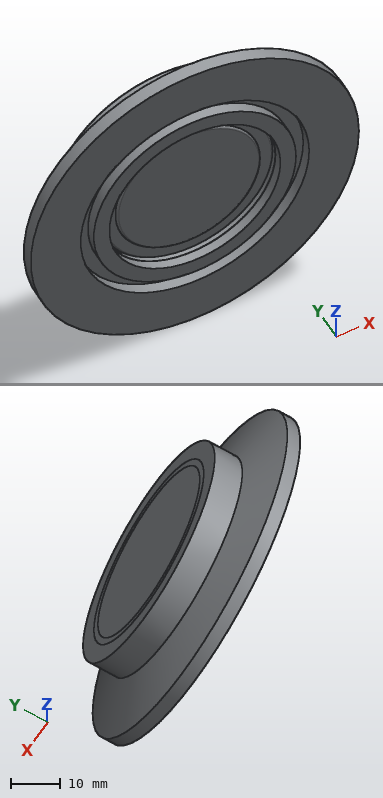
import cadquery as cq
import math

FLANGE_DIAMETER = 75.0
TOTAL_DEPTH = 12.8
FRONT = -TOTAL_DEPTH / 2

RIM_THICKNESS = 3.1
CONE_END_DEPTH = 6.3
HUB_DIAMETER = 50.8
GROOVE_OUTER_DIAMETER = 52.2
GROOVE_INNER_DIAMETER = 46.2
GROOVE_DEPTH = 2.55
BORE_DIAMETER = 39.1

SLEEVE_OUTER_DIAMETER = 42.3
SLEEVE_INNER_DIAMETER = 39.2
LIP_DEPTH = 2.25

WINDOW_FACE_DIAMETER = 38.2
WINDOW_SETBACK = 3.15
WINDOW_EDGE_RADIUS = (SLEEVE_INNER_DIAMETER - WINDOW_FACE_DIAMETER) / 2
BOSS_DIAMETER = 33.0
BOSS_EDGE_RADIUS = 0.45
BOSS_SETBACK = WINDOW_SETBACK - BOSS_EDGE_RADIUS
ARC_MIDPOINT = math.sqrt(0.5)


def revolve_profile(points):
    """Revolve a closed (radius, depth behind the front face) outline about the Y axis."""
    outline = [(radius, FRONT + depth) for radius, depth in points]
    return cq.Workplane("XY").polyline(outline).close().revolve(360, (0, 0, 0), (0, 1, 0))


def make_flange():
    """Tapered clamp flange with a rear hub, an annular front groove and a bore that widens behind a lip."""
    rim = FLANGE_DIAMETER / 2
    hub = HUB_DIAMETER / 2
    bore = BORE_DIAMETER / 2
    seat = SLEEVE_OUTER_DIAMETER / 2
    groove_outer = GROOVE_OUTER_DIAMETER / 2
    groove_inner = GROOVE_INNER_DIAMETER / 2
    return revolve_profile([
        (bore, 0),
        (groove_inner, 0),
        (groove_inner, GROOVE_DEPTH),
        (groove_outer, GROOVE_DEPTH),
        (groove_outer, 0),
        (rim, 0),
        (rim, RIM_THICKNESS),
        (hub, CONE_END_DEPTH),
        (hub, TOTAL_DEPTH),
        (seat, TOTAL_DEPTH),
        (seat, LIP_DEPTH),
        (bore, LIP_DEPTH),
    ])


def make_sleeve():
    """Plain sleeve between the flange seat and the window."""
    outer = SLEEVE_OUTER_DIAMETER / 2
    inner = SLEEVE_INNER_DIAMETER / 2
    return revolve_profile([
        (inner, LIP_DEPTH),
        (outer, LIP_DEPTH),
        (outer, TOTAL_DEPTH),
        (inner, TOTAL_DEPTH),
    ])


def round_edge(profile, radius, edge_radius, face_y):
    """Continue a profile with a quarter arc from its front face to the side at the given radius."""
    center_x = radius - edge_radius
    center_y = face_y + edge_radius
    reach = edge_radius * ARC_MIDPOINT
    return profile.threePointArc((center_x + reach, center_y - reach), (radius, center_y))


def make_window():
    """Disc that closes the sleeve, with a low boss on its front; the boss side is all rounding."""
    edge = SLEEVE_INNER_DIAMETER / 2
    boss = BOSS_DIAMETER / 2
    boss_y = FRONT + BOSS_SETBACK
    window_y = FRONT + WINDOW_SETBACK
    profile = cq.Workplane("XY").moveTo(0, boss_y).lineTo(boss - BOSS_EDGE_RADIUS, boss_y)
    profile = round_edge(profile, boss, BOSS_EDGE_RADIUS, boss_y)
    profile = profile.lineTo(WINDOW_FACE_DIAMETER / 2, window_y)
    profile = round_edge(profile, edge, WINDOW_EDGE_RADIUS, window_y)
    profile = profile.lineTo(edge, FRONT + TOTAL_DEPTH).lineTo(0, FRONT + TOTAL_DEPTH).close()
    return profile.revolve(360, (0, 0, 0), (0, 1, 0))


flange = make_flange()
sleeve = make_sleeve()
window = make_window()

result = cq.Compound.makeCompound([flange.val(), sleeve.val(), window.val()])